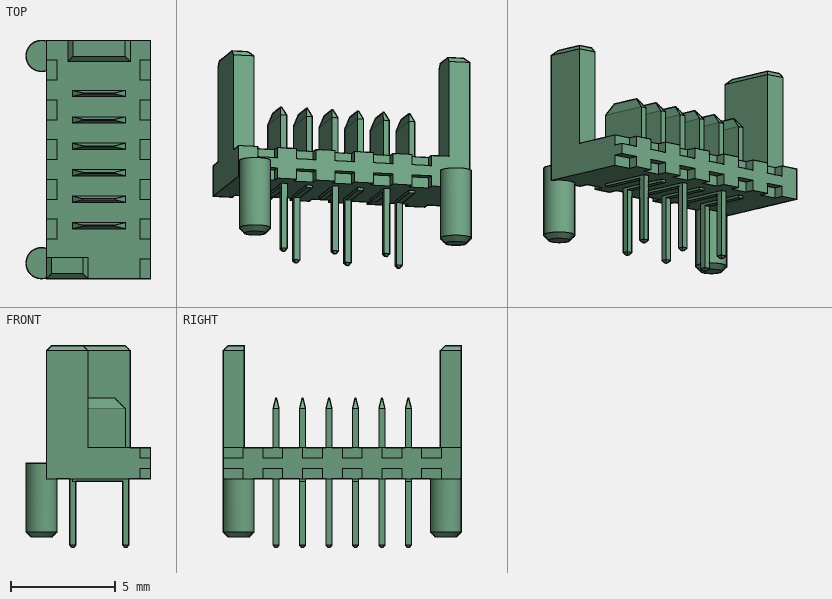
import cadquery as cq

base_width = 5.0
base_length = 11.45
base_height = 1.5

notch_steps = 12
notch_length = base_length / notch_steps
notch_depth = 0.5
notch_height = 0.5
left_notch_count = 5
right_notch_count = 6

post_top = 6.4
post_thickness = 1.02
post_chamfer = 0.25
near_post_start = 0.0
near_post_width = 2.0
far_post_start = 1.03
far_post_width = 3.0

peg_diameter = 1.5
peg_overhang = 0.98
peg_top = 0.75
peg_bottom = -2.8
peg_chamfer = 0.25

contact_count = 6
contact_pitch = 1.27
contact_thickness = 0.3
blade_start = 1.25
blade_width = 2.54
blade_height = 2.37
blade_top = base_height + blade_height
blade_bottom = -0.125
blade_taper_height = 0.5
blade_end_taper = 0.5
blade_tip_thickness = 0.05
leg_row_spacing = 2.54
left_leg_x = 1.27
leg_bottom = -3.3
leg_tip_height = 0.125
leg_tip_width = 0.1


def box(x, y, z, width, length, height):
    """Box with its smallest corner at (x, y, z)."""
    return cq.Workplane("XY").box(width, length, height, centered=False).translate((x, y, z))


def notched_base():
    """Plain block with matching notches in the upper and lower side edges."""
    half_length = base_length / 2
    base = box(0, -half_length, 0, base_width, base_length, base_height)
    sides = [(0, left_notch_count), (base_width - notch_depth, right_notch_count)]
    for x, count in sides:
        for index in range(count):
            y = half_length - 2 * (index + 1) * notch_length
            for z in (0, base_height - notch_height):
                base = base.cut(box(x, y, z, notch_depth, notch_length, notch_height))
    return base


def guide_post(x, y, width):
    """Upright post whose top is chamfered on every side but +Y."""
    post = box(x, y, base_height, width, post_thickness, post_top - base_height)
    top_edges = post.faces(">Z").edges("not >Y")
    return top_edges.chamfer(post_chamfer)


def locating_peg(y):
    """Round peg with a chamfered lower end."""
    radius = peg_diameter / 2
    peg = cq.Workplane("XY", origin=(radius - peg_overhang, y, peg_bottom))
    peg = peg.circle(radius).extrude(peg_top - peg_bottom)
    return peg.faces("<Z").chamfer(peg_chamfer)


def contact_blade(y):
    """Flat blade passing through the base, tapering to a thin top edge."""
    shoulder = blade_top - blade_taper_height
    middle = (blade_start + blade_width / 2, y, shoulder)
    body = box(
        blade_start, y - contact_thickness / 2, blade_bottom,
        blade_width, contact_thickness, shoulder - blade_bottom,
    )
    taper = (
        cq.Workplane("XY", origin=middle)
        .rect(blade_width, contact_thickness)
        .workplane(offset=blade_taper_height)
        .rect(blade_width - 2 * blade_end_taper, blade_tip_thickness)
        .loft(ruled=True)
    )
    return body.union(taper)


def solder_leg(x, y):
    """Square leg, rooted in the base, with a tapered lower tip."""
    tip_start = leg_bottom + leg_tip_height
    half = contact_thickness / 2
    root = base_height / 2
    shank = box(x - half, y - half, tip_start, contact_thickness, contact_thickness, root - tip_start)
    tip = (
        cq.Workplane("XY", origin=(x, y, leg_bottom))
        .rect(leg_tip_width, leg_tip_width)
        .workplane(offset=leg_tip_height)
        .rect(contact_thickness, contact_thickness)
        .loft(ruled=True)
    )
    return shank.union(tip)


result = notched_base()

near_end = -base_length / 2
far_end = base_length / 2
result = result.union(guide_post(near_post_start, near_end, near_post_width))
result = result.union(guide_post(far_post_start, far_end - post_thickness, far_post_width))

peg_offset = far_end - peg_diameter / 2
for peg_y in (-peg_offset, peg_offset):
    result = result.union(locating_peg(peg_y))

first_contact_y = -(contact_count - 1) * contact_pitch / 2
for number in range(contact_count):
    contact_y = first_contact_y + number * contact_pitch
    in_right_row = number % 2 == 0
    leg_x = left_leg_x + leg_row_spacing if in_right_row else left_leg_x
    result = result.union(contact_blade(contact_y))
    result = result.union(solder_leg(leg_x, contact_y))